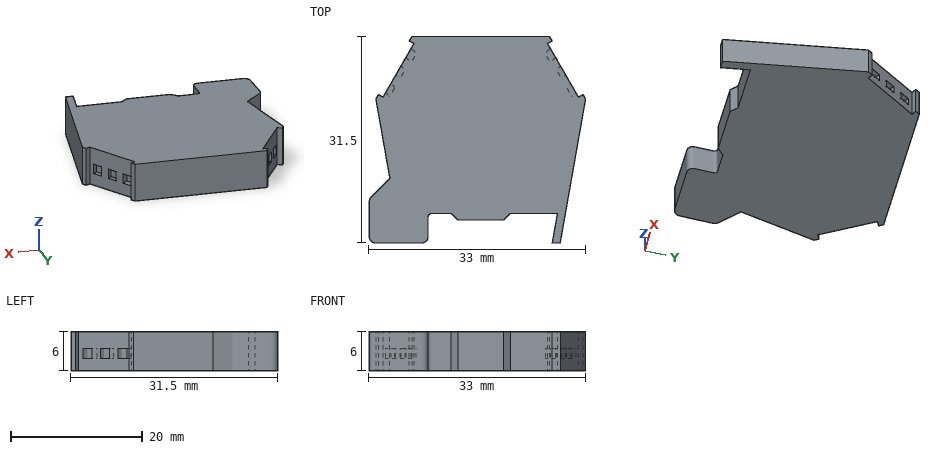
import cadquery as cq
import math

width = 33.0
height = 31.5
thickness = 6.0

body_axis = 17.0
side_lean = math.radians(10)
shoulder_lean = math.radians(30)
shoulder_length = 11.0

lip_length = 0.8
recess_depth = 0.8

foot_width = 9.0
foot_slope_end = 6.75
foot_radius = 1.0
foot_inner_radius = 0.5

underside_height = 4.5
boss_left = 12.5
boss_right = 21.5
boss_drop = 1.0
leg_width = 1.25

pocket_count = 3
pocket_length = 1.6
pocket_pitch = 3.1
pocket_height = 1.5
pocket_bottom = 1.9
pocket_slant = math.radians(45) - shoulder_lean
pocket_depth = 0.85
pocket_corner_radius = 0.1
top_pocket_depth = 1.1
top_pocket_corner_radius = 0.4

shoulder_bottom = height - shoulder_length * math.cos(shoulder_lean)
shoulder_top_x = width - shoulder_length * math.sin(shoulder_lean)
along_shoulder = (math.sin(shoulder_lean), -math.cos(shoulder_lean))
into_shoulder = (-math.cos(shoulder_lean), -math.sin(shoulder_lean))


def shoulder_point(distance, depth):
    """Point on the right shoulder: distance down from its top corner, depth below its surface."""
    return (
        shoulder_top_x + distance * along_shoulder[0] + depth * into_shoulder[0],
        height + distance * along_shoulder[1] + depth * into_shoulder[1],
    )


def mirrored(point):
    return (2 * body_axis - point[0], point[1])


def right_side_x(y):
    """X of the leaning right side at height y."""
    return width - (shoulder_bottom - y) * math.tan(side_lean)


def make_body():
    right_shoulder = [
        shoulder_point(0, 0),
        shoulder_point(lip_length, 0),
        shoulder_point(lip_length, recess_depth),
        shoulder_point(shoulder_length - lip_length, recess_depth),
        shoulder_point(shoulder_length - lip_length, 0),
        shoulder_point(shoulder_length, 0),
    ]
    left_shoulder = [mirrored(point) for point in reversed(right_shoulder)]

    left_side_foot_x = mirrored((right_side_x(foot_slope_end), foot_slope_end))[0]
    neck_x = left_side_foot_x / (1 + math.tan(side_lean))
    neck = (neck_x, foot_slope_end + neck_x)

    boss_bottom = underside_height - boss_drop
    underside = [
        (right_side_x(0), 0),
        (right_side_x(0) - leg_width, 0),
        (right_side_x(underside_height) - leg_width, underside_height),
        (boss_right, underside_height),
        (boss_right - boss_drop, boss_bottom),
        (boss_left + boss_drop, boss_bottom),
        (boss_left, underside_height),
        (foot_width, underside_height),
    ]
    foot = [(foot_width, 0), (0, 0), (0, foot_slope_end), neck]

    outline = right_shoulder + underside + foot + left_shoulder
    return cq.Workplane("XY").polyline(outline).close().extrude(thickness)


def round_foot(body):
    for x, y, radius in [
        (0, 0, foot_radius),
        (foot_width, 0, foot_radius),
        (0, foot_slope_end, foot_radius),
        (foot_width, underside_height, foot_inner_radius),
    ]:
        corner = cq.selectors.NearestToPointSelector((x, y, thickness / 2))
        body = body.edges("|Z").edges(corner).fillet(radius)
    return body


def make_pocket(index, depth, corner_radius):
    """Cutter for one right-hand pocket, counted from the top, its upper inner corner rounded."""
    centre = shoulder_length / 2 + (index - (pocket_count - 1) / 2) * pocket_pitch
    start = centre - pocket_length / 2
    end = centre + pocket_length / 2
    floor = recess_depth + depth
    shift = depth * math.tan(pocket_slant)

    inner_corner = shoulder_point(start + shift, floor)
    corners = [
        shoulder_point(start, recess_depth),
        shoulder_point(end, recess_depth),
        shoulder_point(end + shift, floor),
        inner_corner,
    ]
    plane = cq.Workplane("XY").workplane(offset=pocket_bottom)
    pocket = plane.polyline(corners).close().extrude(pocket_height)
    nearest = cq.selectors.NearestToPointSelector((*inner_corner, pocket_bottom + pocket_height / 2))
    return pocket.edges("|Z").edges(nearest).fillet(corner_radius)


def cut_pockets(body):
    """Cut the pockets into both recesses; the topmost is deeper and more rounded than the others."""
    pockets = [make_pocket(0, top_pocket_depth, top_pocket_corner_radius)]
    for index in range(1, pocket_count):
        pockets.append(make_pocket(index, pocket_depth, pocket_corner_radius))

    for pocket in pockets:
        left_pocket = pocket.mirror("YZ").translate((2 * body_axis, 0, 0))
        body = body.cut(pocket).cut(left_pocket)
    return body


result = cut_pockets(round_foot(make_body()))